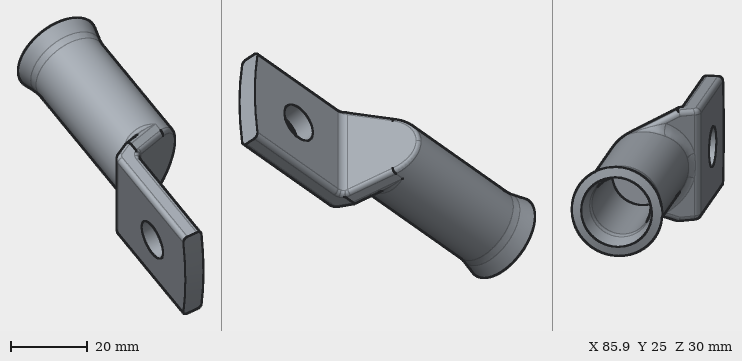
import cadquery as cq
import math

length = 85.9
palm_width = 30.0
palm_thickness = 5.6
palm_bottom = -13.0
palm_end_sag = 1.2
hole_x = 69.4
hole_radius = 5.3

barrel_radius = 10.6
flare_radius = 12.0
lip_length = 0.7
flare_end = 6.3
flare_blend = 8.6
bore_radius = 7.8
mouth_radius = 9.4
mouth_depth = 6.3
bore_depth = 36.9

bend_angle = math.radians(60)
inner_bend_x = 53.15
outer_bend_x = 50.7
bend_radius = 2.6
edge_radius = 1.4
neck_radius = 3.1
shoulder_y = -7.2

half_width = palm_width / 2
palm_top = palm_bottom + palm_thickness

shoulder_distance = math.hypot(shoulder_y, half_width)
tangent_angle = math.atan2(half_width, shoulder_y) - math.acos(barrel_radius / shoulder_distance)
tangent_y = barrel_radius * math.cos(tangent_angle)
tangent_z = barrel_radius * math.sin(tangent_angle)


def slope_x(bend_x, bend_y, y):
    """X of the slanted face through a bend corner, at height y."""
    return bend_x - (y - bend_y) / math.tan(bend_angle)


def fillet_at(body, points, radius):
    """Fillet the edge of the body nearest to each point."""
    edges = []
    for point in points:
        vertex = cq.Vertex.makeVertex(*point)
        edges.append(min(body.edges().vals(), key=vertex.distance))
    return body.newObject(edges).fillet(radius)


def make_barrel():
    """Flared barrel, cut off along the upper slanted face of the web."""
    barrel = (
        cq.Workplane("XY")
        .moveTo(0, 0)
        .lineTo(0, mouth_radius)
        .lineTo(lip_length, flare_radius)
        .lineTo(flare_end, barrel_radius)
        .lineTo(inner_bend_x, barrel_radius)
        .lineTo(inner_bend_x, 0)
        .close()
        .revolve(360, (0, 0, 0), (1, 0, 0))
    )
    barrel = fillet_at(barrel, [(flare_end, 0, barrel_radius)], flare_blend)
    keep = (
        cq.Workplane("XY")
        .polyline([
            (0, -flare_radius),
            (slope_x(inner_bend_x, palm_top, -flare_radius), -flare_radius),
            (slope_x(inner_bend_x, palm_top, flare_radius), flare_radius),
            (0, flare_radius),
        ])
        .close()
        .extrude(flare_radius, both=True)
    )
    barrel = barrel.intersect(keep)
    rim_y = barrel_radius * math.cos(math.pi / 6)
    rim_z = barrel_radius * math.sin(math.pi / 6)
    rim_x = slope_x(inner_bend_x, palm_top, rim_y)
    return fillet_at(barrel, [(rim_x, rim_y, rim_z)], edge_radius)


def make_strap():
    """Flat palm and slanted web, with the web narrowing to the barrel tangents."""
    side = (
        cq.Workplane("XY")
        .polyline([
            (outer_bend_x, palm_bottom),
            (length, palm_bottom),
            (length, palm_top),
            (inner_bend_x, palm_top),
            (slope_x(inner_bend_x, palm_top, tangent_y), tangent_y),
            (slope_x(outer_bend_x, palm_bottom, tangent_y), tangent_y),
        ])
        .close()
        .extrude(half_width, both=True)
    )
    section = (
        cq.Workplane("YZ")
        .polyline([
            (palm_bottom, -half_width),
            (palm_bottom, half_width),
            (shoulder_y, half_width),
            (tangent_y, tangent_z),
            (tangent_y, -tangent_z),
            (shoulder_y, -half_width),
        ])
        .close()
        .extrude(length)
    )
    plan = (
        cq.Workplane("XZ")
        .moveTo(0, -half_width)
        .lineTo(length - palm_end_sag, -half_width)
        .threePointArc((length, 0), (length - palm_end_sag, half_width))
        .lineTo(0, half_width)
        .close()
        .extrude(length, both=True)
    )
    return side.intersect(section).intersect(plan)


def round_strap(strap):
    """Round both bends, then the long edges of the palm and of the web flanks."""
    palm_middle_x = (inner_bend_x + length) / 2
    flank_y = (shoulder_y + tangent_y) / 2
    flank_z = (half_width + tangent_z) / 2
    corners = ((inner_bend_x, palm_top), (outer_bend_x, palm_bottom))
    strap = fillet_at(strap, [(x, y, 0) for x, y in corners], bend_radius)
    for x, y in corners:
        points = []
        for side in (1, -1):
            points.append((palm_middle_x, y, side * half_width))
            points.append((slope_x(x, y, flank_y), flank_y, side * flank_z))
        strap = fillet_at(strap, points, edge_radius)
    return strap


def blend_neck(body):
    """Blend the underside of the barrel into the lower face of the web."""
    neck_x = slope_x(outer_bend_x, palm_bottom, -barrel_radius)
    return fillet_at(body, [(neck_x, -barrel_radius, 0)], neck_radius)


def cut_bore(body):
    """Blind wire bore with a tapered mouth blended into it."""
    bore = (
        cq.Workplane("XY")
        .polyline([
            (0, 0),
            (0, mouth_radius),
            (mouth_depth, bore_radius),
            (bore_depth, bore_radius),
            (bore_depth, 0),
        ])
        .close()
        .revolve(360, (0, 0, 0), (1, 0, 0))
    )
    bore = fillet_at(bore, [(mouth_depth, 0, bore_radius)], flare_blend)
    return body.cut(bore)


def cut_bolt_hole(body):
    hole = cq.Workplane("XZ").center(hole_x, 0).circle(hole_radius).extrude(length, both=True)
    return body.cut(hole)


body = make_barrel().union(round_strap(make_strap()))
body = blend_neck(body)
body = cut_bore(body)
result = cut_bolt_hole(body)